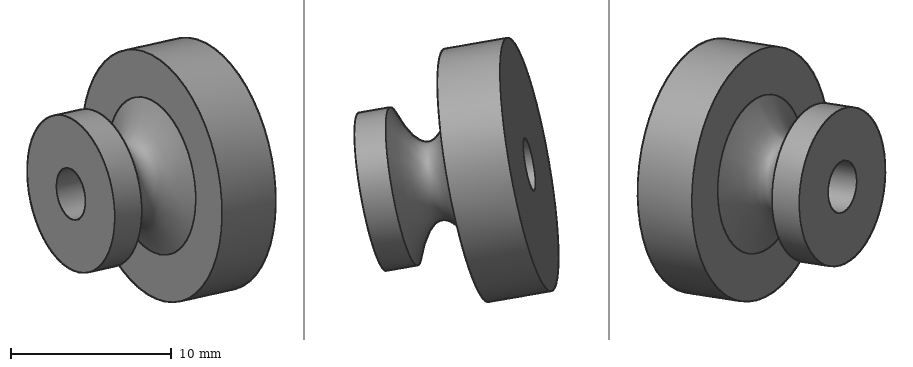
import cadquery as cq

HEAD_DIAMETER = 16.0
HEAD_LENGTH = 4.0
COLLAR_DIAMETER = 10.0
COLLAR_LENGTH = 2.0
NECK_LENGTH = 4.0
WAIST_DIAMETER = 5.0
BORE_DIAMETER = 3.3

collar_front = 0.0
collar_back = collar_front + COLLAR_LENGTH
waist_position = collar_back + NECK_LENGTH / 2
head_front = collar_back + NECK_LENGTH
head_back = head_front + HEAD_LENGTH


def make_knob():
    """Revolve the half profile, drawn as (Y, radius), about the Y axis."""
    bore_radius = BORE_DIAMETER / 2
    collar_radius = COLLAR_DIAMETER / 2
    head_radius = HEAD_DIAMETER / 2
    waist = (waist_position, WAIST_DIAMETER / 2)
    neck_end = (head_front, collar_radius)
    return (
        cq.Workplane("YZ")
        .moveTo(collar_front, bore_radius)
        .lineTo(collar_front, collar_radius)
        .lineTo(collar_back, collar_radius)
        .spline([waist, neck_end], includeCurrent=True)
        .lineTo(head_front, head_radius)
        .lineTo(head_back, head_radius)
        .lineTo(head_back, bore_radius)
        .close()
        .revolve(360, (0, 0, 0), (1, 0, 0))
    )


result = make_knob()